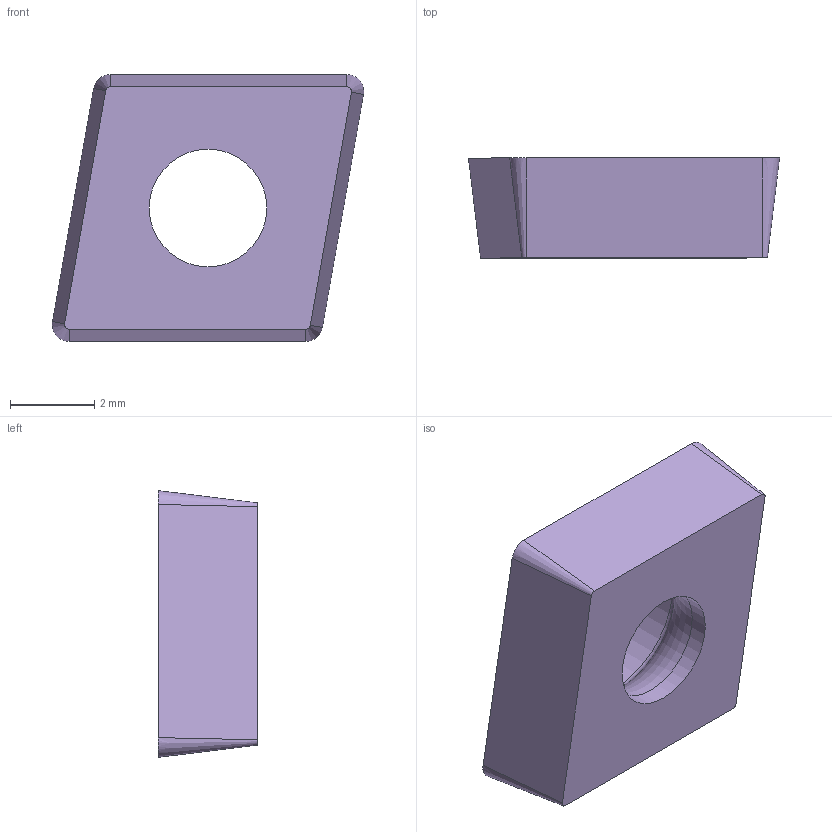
import cadquery as cq
import math

inscribed_diameter = 6.35
thickness = 2.38
corner_angle = 80.0
nose_radius = 0.4
clearance_angle = 7.0

hole_diameter = 2.8
seat_diameter = 3.85
straight_depth = 0.44
seat_depth = 1.63
blend_radius = 0.2

hole_radius = hole_diameter / 2
seat_radius = seat_diameter / 2
back_y = thickness / 2
front_y = -thickness / 2
edge_inset = thickness * math.tan(math.radians(clearance_angle))


def rhombus_section(inset, y):
    """Rounded rhombus outline in the plane at y, with every edge and nose radius reduced by inset."""
    half_height = inscribed_diameter / 2 - inset
    lean = math.radians(corner_angle)
    half_side = half_height / math.sin(lean)
    shift = half_height / math.tan(lean)
    corners = [
        (-half_side - shift, -half_height),
        (half_side - shift, -half_height),
        (half_side + shift, half_height),
        (-half_side + shift, half_height),
    ]
    prism = cq.Workplane("XZ", origin=(0, y, 0)).polyline(corners).close().extrude(thickness)
    rounded = prism.edges("|Y").fillet(nose_radius - inset)
    return rounded.faces(">Y").wires().val()


def insert_body():
    large_outline = rhombus_section(0, back_y)
    small_outline = rhombus_section(edge_inset, front_y)
    return cq.Workplane(cq.Solid.makeLoft([large_outline, small_outline], True))


def point_on_arc(center_r, center_y, radius, angle):
    """Point on an arc, angle in radians from the inward radial direction (a negative radius mirrors it)."""
    return (
        center_r - radius * math.cos(angle),
        center_y + radius * math.sin(angle),
    )


def screw_hole():
    """Revolved about Y: straight bore, outward flare, tangent blend, then a straight seat."""
    step = seat_radius - hole_radius
    run = seat_depth - straight_depth
    sweep = 2 * math.atan(step / run)
    flare_radius = run / math.sin(sweep) - blend_radius

    flare_start_y = front_y + straight_depth
    flare_center = (hole_radius + flare_radius, flare_start_y)
    seat_start_y = front_y + seat_depth
    blend_center = (seat_radius - blend_radius, seat_start_y)

    flare_middle = point_on_arc(*flare_center, flare_radius, sweep / 2)
    flare_end = point_on_arc(*flare_center, flare_radius, sweep)
    blend_middle = point_on_arc(*blend_center, -blend_radius, sweep / 2)

    return (
        cq.Workplane("XY")
        .moveTo(0, front_y)
        .lineTo(hole_radius, front_y)
        .lineTo(hole_radius, flare_start_y)
        .threePointArc(flare_middle, flare_end)
        .threePointArc(blend_middle, (seat_radius, seat_start_y))
        .lineTo(seat_radius, back_y)
        .lineTo(0, back_y)
        .close()
        .revolve(360, (0, 0, 0), (0, 1, 0))
    )


result = insert_body().cut(screw_hole())